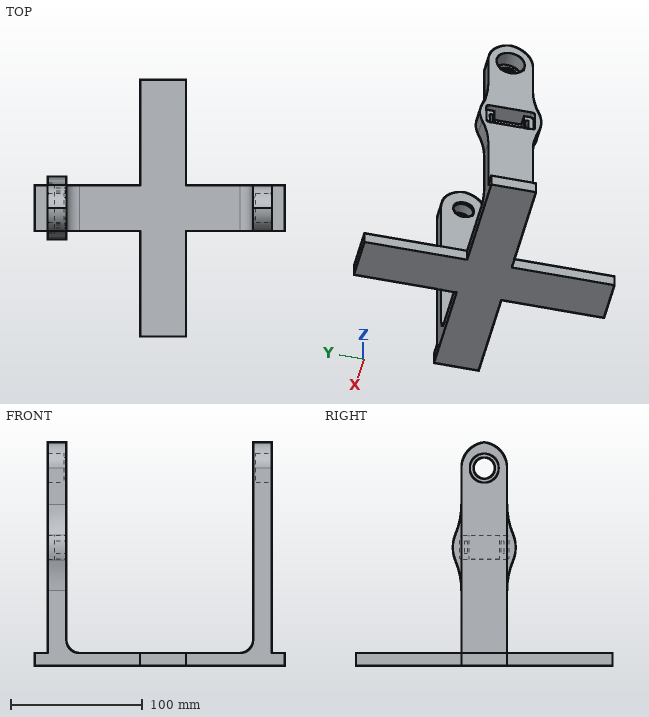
import cadquery as cq

base_length_x = 190.0
base_length_y = 195.0
overall_height = 169.8
arm_width = 35.0
base_thickness = 10.0
cross_arm_offset = 2.5

post_inset = 10.0
post_thickness = 14.2
post_fillet = 10.0
crown_height = 19.7
crown_base_z = overall_height - crown_height
half_width = arm_width / 2
post_outer_x = base_length_x / 2 - post_inset
post_inner_x = post_outer_x - post_thickness

bore_diameter = 16.0
counterbore_diameter = 22.0
bore_lip = 1.8

bulge_z = 89.9
bulge_half_width = 24.0
bulge_half_height = 32.5
tip_half_height = 9.4
shoulder_half_width = 22.2

recess_width = 37.8
recess_height = 18.5
recess_depth = 5.0
recess_corner_radius = 2.5
window_width = 23.2
window_sill = 0.5
slot_spacing = 27.9
slot_width = 2.3
slot_bottom = -4.5
slot_straight_height = 8.4


def make_base():
    along_x = cq.Workplane("XY").box(base_length_x, arm_width, base_thickness, centered=(True, True, False))
    along_y = cq.Workplane("XY").box(arm_width, base_length_y, base_thickness, centered=(True, True, False))
    return along_x.union(along_y.translate((cross_arm_offset, 0, 0)))


def make_post():
    """Right-hand post with a pointed-arch crown and a fillet at its inner foot."""
    post = (
        cq.Workplane("XY")
        .center((post_inner_x + post_outer_x) / 2, 0)
        .rect(post_thickness, arm_width)
        .extrude(crown_base_z)
    )
    crown_radius = (crown_height**2 + half_width**2) / (2 * half_width)
    crown = (
        cq.Workplane("YZ", origin=(post_inner_x, 0, crown_base_z))
        .moveTo(-half_width, 0)
        .radiusArc((0, crown_height), crown_radius)
        .radiusArc((half_width, 0), crown_radius)
        .close()
        .extrude(post_thickness)
    )
    foot = (
        cq.Workplane("XZ", origin=(0, half_width, 0))
        .moveTo(post_inner_x, base_thickness)
        .lineTo(post_inner_x, base_thickness + post_fillet)
        .radiusArc((post_inner_x - post_fillet, base_thickness), post_fillet)
        .close()
        .extrude(arm_width)
    )
    return post.union(crown).union(foot).cut(make_bore())


def make_bore():
    bore = (
        cq.Workplane("YZ", origin=(post_inner_x, 0, crown_base_z))
        .circle(bore_diameter / 2)
        .extrude(post_thickness)
    )
    counterbore = (
        cq.Workplane("YZ", origin=(post_inner_x + bore_lip, 0, crown_base_z))
        .circle(counterbore_diameter / 2)
        .extrude(post_thickness - bore_lip)
    )
    return bore.union(counterbore)


def bulge_plane():
    """Workplane on the outer face of the left post, centred on the bulge."""
    return cq.Workplane("YZ", origin=(-post_outer_x, 0, bulge_z))


def make_bulge():
    """Rounded tips that blend back into the straight post edges with tangent arcs."""
    rise = bulge_half_height - tip_half_height
    reach = shoulder_half_width - half_width
    blend_radius = (rise**2 + reach**2) / (2 * reach)
    return (
        bulge_plane()
        .moveTo(half_width, -bulge_half_height)
        .radiusArc((shoulder_half_width, -tip_half_height), blend_radius)
        .threePointArc((bulge_half_width, 0), (shoulder_half_width, tip_half_height))
        .radiusArc((half_width, bulge_half_height), blend_radius)
        .lineTo(-half_width, bulge_half_height)
        .radiusArc((-shoulder_half_width, tip_half_height), blend_radius)
        .threePointArc((-bulge_half_width, 0), (-shoulder_half_width, -tip_half_height))
        .radiusArc((-half_width, -bulge_half_height), blend_radius)
        .close()
        .extrude(post_thickness)
    )


def make_slot(center_y):
    """Narrow through slot with a square bottom and a round top."""
    arch_base = slot_bottom + slot_straight_height
    return (
        bulge_plane()
        .center(center_y, 0)
        .moveTo(-slot_width / 2, slot_bottom)
        .lineTo(-slot_width / 2, arch_base)
        .threePointArc((0, arch_base + slot_width / 2), (slot_width / 2, arch_base))
        .lineTo(slot_width / 2, slot_bottom)
        .close()
        .extrude(post_thickness)
    )


def make_window():
    recess = (
        bulge_plane().rect(recess_width, recess_height)
        .extrude(recess_depth)
        .edges("|X")
        .fillet(recess_corner_radius)
    )
    window = bulge_plane().center(0, window_sill / 2).rect(window_width, recess_height - window_sill)
    opening = recess.union(window.extrude(post_thickness))
    for side in (-1, 1):
        opening = opening.union(make_slot(side * slot_spacing / 2))
    return opening


right_post = make_post()
left_post = right_post.mirror("YZ").union(make_bulge()).cut(make_window())
result = make_base().union(right_post).union(left_post)